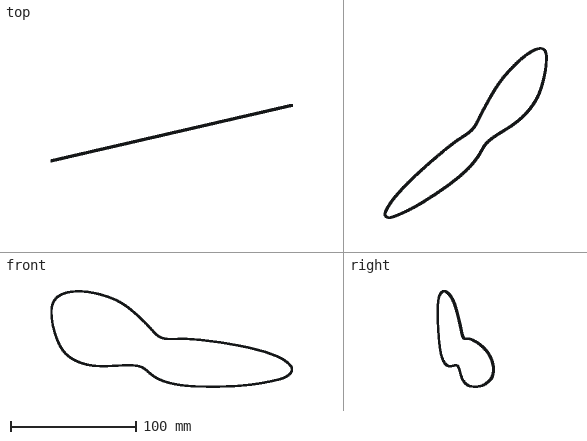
import cadquery as cq
import math

overall_x = 192.4
thickness = 0.8
turn_angle = 13.0

turn = math.radians(turn_angle)
plate_length = (overall_x - thickness * math.sin(turn)) / math.cos(turn)
plate_height = 76.4

broad_end = (0.0, 59.2)
crest = (20.5, plate_height)
neck_top = (93.9, 38.5)
narrow_tip = (plate_length, 14.0)
belly = (133.7, 0.0)
neck_bottom = (65.5, 17.1)

broad_shoulder = [(5.2, 72.0)]
crest_slope = [(39.2, 74.0), (57.0, 67.3), (71.2, 56.5), (82.1, 45.8), (88.9, 39.8)]
upper_blade = [(105.8, 38.5), (121.2, 37.7), (153.3, 33.0), (174.9, 28.0), (185.5, 24.2), (194.0, 19.0)]
lower_blade = [(193.3, 8.7), (185.5, 5.5), (164.0, 1.7)]
belly_rise = [(110.5, 0.8), (92.7, 4.2), (82.1, 9.6), (75.0, 15.2)]
broad_underside = [(42.3, 16.4), (24.8, 18.9), (10.2, 28.0), (2.9, 42.7)]

outline_points = [
    broad_end, *broad_shoulder,
    crest, *crest_slope,
    neck_top, *upper_blade,
    narrow_tip, *lower_blade,
    belly, *belly_rise,
    neck_bottom, *broad_underside,
]

plate = cq.Workplane("XZ").spline(outline_points, periodic=True).close().extrude(-thickness)
result = plate.rotate((0, 0, 0), (0, 0, 1), turn_angle)